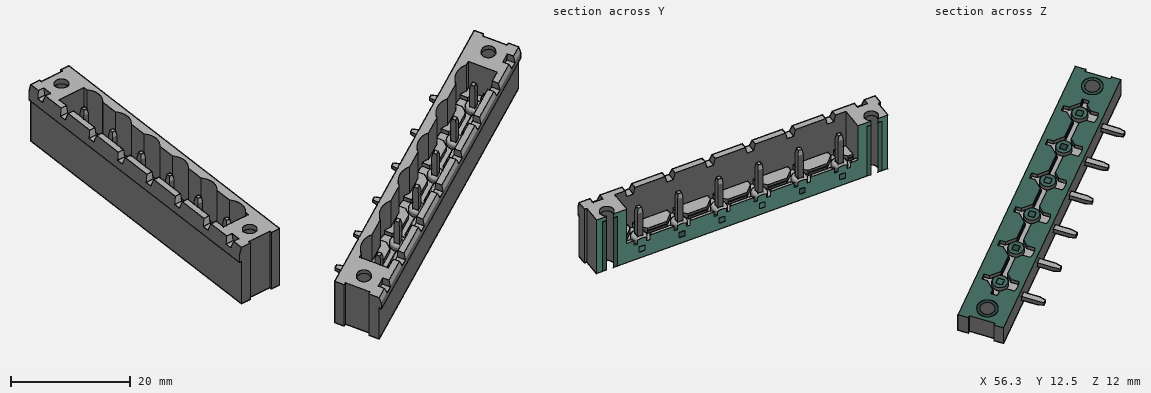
import cadquery as cq


length = 56.3
height = 12.0
back_y = 4.0
front_y = -4.15

lip_front_y = -4.55
lip_bottom_z = 8.95
lip_bevel_height = 1.35

pin_count = 6
pin_row_span = 38.1
pin_pitch = pin_row_span / (pin_count - 1)
pin_side = 1.0
pin_tip_side = 0.7
pin_taper = 1.05
pin_top_z = 10.45
tail_z = 1.95
tail_end_y = 7.95
pin_xs = [i * pin_pitch - pin_row_span / 2 for i in range(pin_count)]

cavity_length = 43.9
cavity_front_y = -3.05
cavity_back_y = 2.25
cavity_floor_z = 3.4
scallop_radius = 3.1

pad_height = 1.0
channel_half_width = 0.55
clearing_width = 5.1
pad_corner_reach = clearing_width / 2
front_gap_half_width = 0.5
back_gap_half_width = 1.0
ledge_width = 0.15
ledge_height = pad_height / 2

boss_diameter = 2.8
boss_rounding = 0.45

flange_hole_spacing = 50.3
flange_xs = [-flange_hole_spacing / 2, flange_hole_spacing / 2]
bore_diameter = 2.5
sleeve_outer_diameter = 3.5
sleeve_cover = 1.0
sleeve_top_z = height - sleeve_cover

slot_top_width = 1.85
slot_bottom_width = 1.25

end_groove_depth = 0.45
end_groove_width = 4.5


def block(x0, x1, y0, y1, z0, z1):
    """Box between two opposite corners."""
    return cq.Workplane("XY").box(x1 - x0, y1 - y0, z1 - z0, centered=False).translate((x0, y0, z0))


def make_shell():
    """Housing profile with the bevelled lip, extruded along X."""
    profile = [
        (back_y, 0),
        (back_y, height),
        (front_y, height),
        (lip_front_y, height - lip_bevel_height),
        (lip_front_y, lip_bottom_z),
        (front_y, lip_bottom_z),
        (front_y, 0),
    ]
    return cq.Workplane("YZ").polyline(profile).close().extrude(length / 2, both=True)


def make_cavity():
    """Open-topped cavity: a rectangle with a round scallop behind each pin."""
    half = cavity_length / 2
    cavity = block(-half, half, cavity_front_y, cavity_back_y, cavity_floor_z, height)
    scallops = (
        cq.Workplane("XY", origin=(0, 0, cavity_floor_z))
        .pushPoints([(x, 0) for x in pin_xs])
        .circle(scallop_radius)
        .extrude(height - cavity_floor_z)
    )
    behind_row = block(-half, half, 0, back_y, cavity_floor_z, height)
    return cavity.union(scallops.intersect(behind_row))


def make_channels():
    """Cross-shaped clear area around the pins, one pad height deep."""
    half = cavity_length / 2
    top_z = cavity_floor_z + pad_height
    channels = block(-half, half, -channel_half_width, channel_half_width, cavity_floor_z, top_z)
    diamond = [(pad_corner_reach, 0), (0, pad_corner_reach), (-pad_corner_reach, 0), (0, -pad_corner_reach)]
    for x in pin_xs:
        clearing = (
            cq.Workplane("XY", origin=(x, 0, cavity_floor_z))
            .polyline(diamond)
            .close()
            .extrude(pad_height)
        )
        front_gap = block(
            x - front_gap_half_width, x + front_gap_half_width, cavity_front_y, 0, cavity_floor_z, top_z
        )
        back_gap = block(
            x - back_gap_half_width, x + back_gap_half_width, 0, scallop_radius, cavity_floor_z, top_z
        )
        channels = channels.union(clearing).union(front_gap).union(back_gap)
    return channels


def make_pads():
    """Raised pads: the lowest layer of the cavity less the channels."""
    half = length / 2
    layer = block(-half, half, cavity_front_y, back_y, cavity_floor_z, cavity_floor_z + pad_height)
    return make_cavity().intersect(layer).cut(make_channels())


def make_ledges():
    """Narrow step along the front edge of the channel, interrupted around each pin."""
    half = cavity_length / 2
    opening_half = pad_corner_reach - channel_half_width
    front = -channel_half_width
    back = front + ledge_width
    top_z = cavity_floor_z + ledge_height
    ledges = block(-half, half, front, back, cavity_floor_z, top_z)
    for x in pin_xs:
        ledges = ledges.cut(block(x - opening_half, x + opening_half, front, back, cavity_floor_z, top_z))
    return ledges


def make_boss(x):
    """Round boss with a domed rim on the cavity floor."""
    boss = cq.Workplane("XY", origin=(x, 0, cavity_floor_z)).circle(boss_diameter / 2).extrude(pad_height)
    return boss.faces(">Z").edges().fillet(boss_rounding)


def make_slot(x):
    """Tapered slot through the lip, wider at the top."""
    half_top = slot_top_width / 2
    half_bottom = slot_bottom_width / 2
    floor_z = height - lip_bevel_height
    outline = [(-half_top, height), (half_top, height), (half_bottom, floor_z), (-half_bottom, floor_z)]
    return (
        cq.Workplane("XZ", origin=(x, cavity_front_y, 0))
        .polyline(outline)
        .close()
        .extrude(cavity_front_y - lip_front_y)
    )


def make_end_groove(side):
    """Full-height groove in the end face at the given side (-1 or 1)."""
    return (
        cq.Workplane("XY", origin=(side * length / 2, 0, 0))
        .rect(2 * end_groove_depth, end_groove_width)
        .extrude(height)
    )


def tapered_bar(bar_length):
    """Upright square bar from the origin, ending in a tapered tip."""
    shank_length = bar_length - pin_taper
    shank = cq.Workplane("XY").rect(pin_side, pin_side).extrude(shank_length)
    tip = (
        cq.Workplane("XY", origin=(0, 0, shank_length))
        .rect(pin_side, pin_side)
        .workplane(offset=pin_taper)
        .rect(pin_tip_side, pin_tip_side)
        .loft()
    )
    return shank.union(tip)


def make_pin(x):
    """Right-angled square pin: contact pointing up, solder tail pointing back."""
    heel_z = tail_z - pin_side / 2
    contact = tapered_bar(pin_top_z - heel_z).translate((x, 0, heel_z))
    tail = tapered_bar(tail_end_y).rotate((0, 0, 0), (1, 0, 0), -90).translate((x, 0, tail_z))
    return contact.union(tail)


def make_sleeve(x):
    """Plain sleeve lining a flange hole up to the cover left at the top of the flange."""
    return (
        cq.Workplane("XY", origin=(x, 0, 0))
        .circle(sleeve_outer_diameter / 2)
        .circle(bore_diameter / 2)
        .extrude(sleeve_top_z)
    )


def make_flange_hole(x):
    """Through bore with a wider seat for the sleeve from below."""
    bore = cq.Workplane("XY", origin=(x, 0, 0)).circle(bore_diameter / 2).extrude(height)
    seat = cq.Workplane("XY", origin=(x, 0, 0)).circle(sleeve_outer_diameter / 2).extrude(sleeve_top_z)
    return bore.union(seat)


def make_housing():
    """Housing with its cavity, pads, bosses, pin holes, slots, flange holes and end grooves."""
    housing = make_shell().cut(make_cavity()).union(make_pads()).union(make_ledges())
    for x in pin_xs:
        housing = housing.union(make_boss(x)).cut(make_pin(x))
    for x in pin_xs + flange_xs:
        housing = housing.cut(make_slot(x))
    for x in flange_xs:
        housing = housing.cut(make_flange_hole(x))
    for side in (-1, 1):
        housing = housing.cut(make_end_groove(side))
    return housing


housing = make_housing()
pins = [make_pin(x) for x in pin_xs]
sleeves = [make_sleeve(x) for x in flange_xs]

result = cq.Compound.makeCompound(
    [housing.val(), *[pin.val() for pin in pins], *[sleeve.val() for sleeve in sleeves]]
)